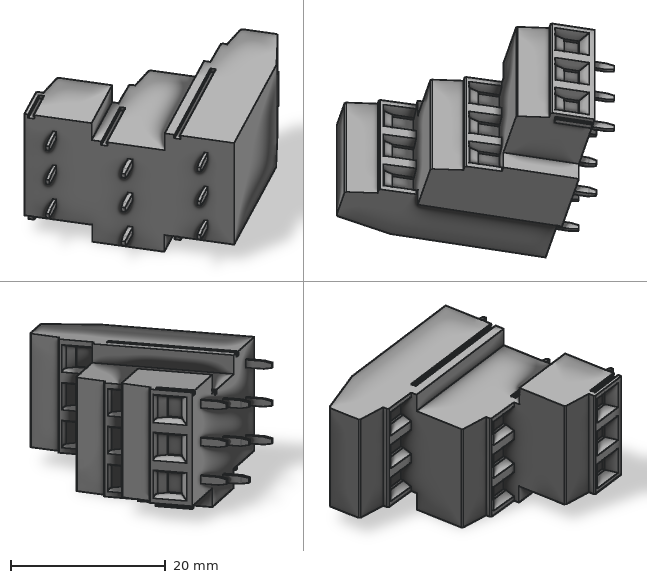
import cadquery as cq


pole_count = 3
pole_pitch = 5.07
row_height = 15.25
stagger = pole_pitch / 2
tier_count = 3
tier_step_x = 9.8
tier_step_y = 9.1
first_tier_top = 10.02
block_depth = 28.1

first_joint_x = 9.0
second_joint_x = first_joint_x + tier_step_x
joint_clearance = 0.05

face_base_x = 0.05
shelf_lip_x = 0.15
shelf_depth_x = 0.95
shoulder_x = 1.65
shelf_drop = 4.2
edge_chamfer = 0.2

back_slope_start_y = 20.55
back_top_x = 26.15

funnel_bottom_y = 0.73
funnel_top_y = 5.25
funnel_mouth_height = 3.77
funnel_throat_height = 2.75
funnel_depth = 1.33
funnel_overrun = 0.32
funnel_round_start_x = 0.4
funnel_round_end = (1.0, 4.95)
funnel_round_middle = (0.8, 5.17)
clamp_bottom_y = 1.78
clamp_top_y = 3.77
clamp_depth = 1.75

first_pin_x = 4.05
pin_spacing_x = 10.15
pin_length = 3.5
pin_tip_length = 1.08
pin_root_depth = 0.32
pin_height = 1.05
pin_tip_height = 0.63
outer_pin_width = 0.48
middle_pin_width = 0.65
pin_tip_width = outer_pin_width

rail_offset_x = 0.9
rail_depth = 0.55
rail_neck_width = 0.5
rail_head_width = 0.9
rail_neck_depth = 0.15
rail_bevel = 0.1
rail_lift = 0.15
groove_extra_width = 0.03
groove_mouth_flare = 0.1
rail_top_y = (5.07, 9.07, 17.5)

catch_x = 26.53
catch_top_y = 27.33
catch_foot_y = 26.7
catch_height = pole_pitch


def tier_origin(tier):
    return tier * tier_step_x, tier * tier_step_y


def tier_bottom_z(tier):
    return 0 if tier == 1 else stagger


def pole_center_z(tier, pole):
    return tier_bottom_z(tier) + row_height / 2 + (pole - (pole_count - 1) / 2) * pole_pitch


def back_slope_x(y):
    """X of the sloping back at height y."""
    block_top_y = first_tier_top + (tier_count - 1) * tier_step_y
    rise = (block_top_y - y) / (block_top_y - back_slope_start_y)
    return back_top_x + rise * (block_depth - back_top_x)


def tier_front(tier, left_x):
    """Outline points of a tier's front, from its foot up to its top shoulder."""
    origin_x, origin_y = tier_origin(tier)
    top_y = first_tier_top + origin_y
    shelf_y = top_y - shelf_drop
    points = [(left_x, 0)]
    lip_x = left_x
    if tier > 0:
        lip_x = origin_x + shelf_lip_x
        lower_top_y = top_y - tier_step_y
        points += [(left_x, lower_top_y), (origin_x + face_base_x, lower_top_y)]
    points += [
        (lip_x, shelf_y - edge_chamfer),
        (lip_x + edge_chamfer, shelf_y),
        (origin_x + shelf_depth_x, shelf_y),
        (origin_x + shoulder_x, top_y - edge_chamfer),
        (origin_x + shoulder_x + edge_chamfer, top_y),
    ]
    return points


def tier_body(tier, left_x, right_x, bottom_z, height):
    points = tier_front(tier, left_x)
    top_y = points[-1][1]
    if tier == tier_count - 1:
        points += [
            (back_top_x - edge_chamfer, top_y),
            (back_slope_x(top_y - edge_chamfer), top_y - edge_chamfer),
            (right_x, back_slope_start_y),
        ]
    else:
        points.append((right_x, top_y))
    points.append((right_x, 0))
    return cq.Workplane("XY", origin=(0, 0, bottom_z)).polyline(points).close().extrude(height)


def middle_tier():
    upper = tier_body(1, first_joint_x, second_joint_x, stagger, row_height - stagger)
    lower = tier_body(
        1, first_joint_x + joint_clearance, second_joint_x - joint_clearance, 0, stagger
    )
    return upper.union(lower)


def wire_funnel(tier):
    """Cavity for one pole: a tapered mouth with a rounded roof, and a clamp pocket."""
    foot_y = funnel_bottom_y
    throat_foot_y = clamp_bottom_y
    if tier > 0:
        foot_y = first_tier_top - tier_step_y
        throat_foot_y = foot_y
    side = (
        cq.Workplane("XY")
        .moveTo(0, foot_y)
        .lineTo(funnel_depth, throat_foot_y)
        .lineTo(funnel_depth, clamp_top_y)
        .lineTo(*funnel_round_end)
        .threePointArc(funnel_round_middle, (funnel_round_start_x, funnel_top_y))
        .lineTo(-funnel_overrun, funnel_top_y)
        .lineTo(-funnel_overrun, foot_y)
        .close()
        .extrude(funnel_mouth_height / 2, both=True)
    )
    mouth_half = funnel_mouth_height / 2
    throat_half = funnel_throat_height / 2
    taper = (
        cq.Workplane("XZ")
        .polyline([
            (-funnel_overrun, -mouth_half),
            (0, -mouth_half),
            (funnel_depth, -throat_half),
            (funnel_depth, throat_half),
            (0, mouth_half),
            (-funnel_overrun, mouth_half),
        ])
        .close()
        .extrude(-2 * funnel_top_y)
    )
    pocket = cq.Workplane("XY").box(
        clamp_depth, clamp_top_y - throat_foot_y, funnel_throat_height,
        centered=(False, False, True),
    ).translate((0, throat_foot_y, 0))
    return side.intersect(taper).union(pocket)


def solder_pin(tier):
    width = middle_pin_width if tier == 1 else outer_pin_width
    shank_length = pin_length - pin_tip_length
    shank = (
        cq.Workplane("XZ", origin=(0, pin_root_depth, 0))
        .rect(width, pin_height)
        .extrude(pin_root_depth + shank_length)
    )
    tip = (
        cq.Workplane("XZ", origin=(0, -shank_length, 0))
        .rect(width, pin_height)
        .workplane(offset=pin_tip_length)
        .rect(pin_tip_width, pin_tip_height)
        .loft()
    )
    return shank.union(tip)


def dovetail(center_x, face_z, bottom_y, top_y, extra_width=0, mouth_flare=0):
    """Rail hanging down from face_z, narrow at its neck and wide at its head."""
    neck = (rail_neck_width + extra_width) / 2
    head = (rail_head_width + extra_width) / 2
    half = [
        (neck + mouth_flare, 0),
        (neck, -rail_neck_depth),
        (head, -rail_neck_depth - rail_bevel),
        (head, -rail_depth + rail_bevel),
        (head - rail_bevel, -rail_depth),
    ]
    outline = half + [(-x, z) for x, z in reversed(half)]
    return (
        cq.Workplane("XZ", origin=(center_x, bottom_y, face_z))
        .polyline(outline)
        .close()
        .extrude(bottom_y - top_y)
    )


def back_catch():
    outline = [
        (back_slope_x(catch_top_y), catch_top_y),
        (catch_x, catch_top_y),
        (catch_x, catch_foot_y),
    ]
    z = stagger + (row_height - catch_height) / 2
    return cq.Workplane("XY", origin=(0, 0, z)).polyline(outline).close().extrude(catch_height)


result = tier_body(0, 0, first_joint_x, stagger, row_height)
result = result.union(middle_tier())
result = result.union(tier_body(2, second_joint_x, block_depth, stagger, row_height))

for tier in range(tier_count):
    origin_x, origin_y = tier_origin(tier)
    bottom_z = tier_bottom_z(tier)
    rail_x = origin_x + rail_offset_x
    rail_top = rail_top_y[tier]
    groove = dovetail(
        rail_x, bottom_z + row_height, 0, rail_top, groove_extra_width, groove_mouth_flare
    )
    result = result.cut(groove)
    if tier != 1:
        result = result.union(dovetail(rail_x, bottom_z, rail_lift, rail_top))
    for pole in range(pole_count):
        z = pole_center_z(tier, pole)
        result = result.cut(wire_funnel(tier).translate((origin_x, origin_y, z)))
        result = result.union(solder_pin(tier).translate((first_pin_x + tier * pin_spacing_x, 0, z)))

result = result.union(back_catch())